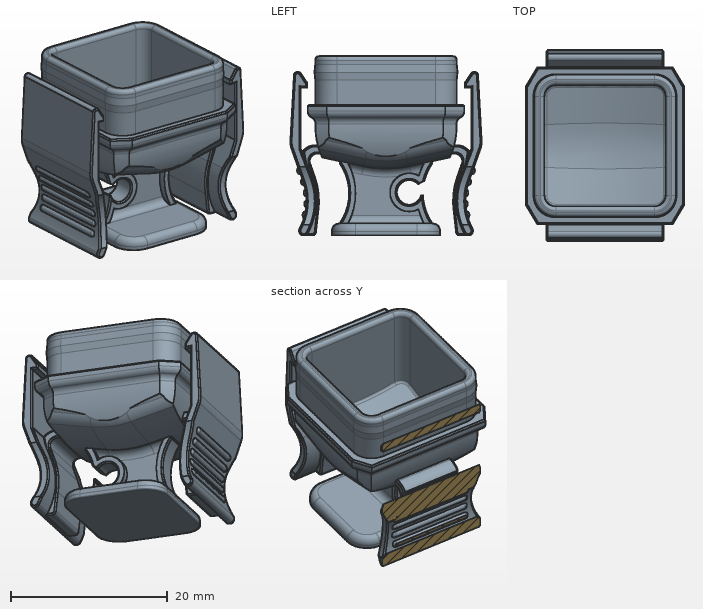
import cadquery as cq
import math

EDGE_CHAMFER = 0.2

CUP_HALF = 9.05
CUP_TOP_Z = 22.9
CUP_CORNER_R = 2.74
WALL = 1.32
RIM_ROUND = 0.55
BEAD_MID_Z = 20.85
BEAD_HALF_HEIGHT = 1.0
BEAD_RISE = 0.1

FLANGE_HALF_X = 10.102
FLANGE_HALF_Y = 10.005
CORNER_CUT_X = 1.47
CORNER_CUT_Y = 2.45
FLANGE_TOP_Z = 16.65
OGEE_TOP_Z = 15.88
OGEE_BOTTOM_Z = 14.25
OGEE_STEP = 1.0
SKIRT_MID = (0.25, 11.73)
SKIRT_END = (0.85, 10.02)
BODY_LOW_Z = 7.33

KEEL_Z = 8.5
KEEL_ANGLE = 12.3
KEEL_ARC_R = 13.68
KEEL_RUN = 14.65
KEEL_SECTION_TOP = 20.77
BILGE_LOW = (7.57, 9.53)
BILGE_MID = (8.23, 10.05)
BILGE_HIGH = (8.7, 10.75)
KEEL_SIDE = (10.75, 13.44)
FLOOR_Z = 9.55
FLOOR_EDGE_Z = 10.82
FLOOR_ROUND = 0.37

FOOT_HALF_X = 8.45
FOOT_HALF_Y = 6.91
FOOT_HEIGHT = 1.55
FOOT_CORNER_R = 2.98
FOOT_TOP_ROUND = 0.98
FOOT_BOTTOM_ROUND = 0.12

POST_HALF_X = 1.6
POST_TOP_Z = 9.77
POST_WAIST_Z = 5.37
POST_WAIST_HALF = 4.71
POST_FOOT_HALF = 5.9
POST_RIM = 0.83
POST_RIM_FLARE = 0.25
WEB_HALF_X = 0.55
WEB_ROUND = POST_HALF_X - WEB_HALF_X
HOOK_Y = -2.95
HOOK_Z = 5.5
HOOK_OUTER_R = 2.45
HOOK_HOLE_R = 1.56

ARM_HALF_X = 7.48
ARM_OUT = 12.25
ARM_BEND_Z = 11.58
ARM_BEND_R = 2.74
ARM_INNER_Y = 10.85
ARM_INNER_BEND_Z = 10.97
ARM_TOP_Z = 20.86
ARM_TILT = 19.3
ARM_THICKNESS = 1.22
ARM_CURVE_R = 7.33
ARM_CURVE_Y = 17.47
ARM_CURVE_Z = 4.4
WAIST_TOP_Z = 8.8
WAIST_LOW_Z = 1.35
WAIST_DEPTH = 1.0

PAD_HALF_X = 4.15
PAD_RISE = 0.4
PAD_LOW_ROUND = 0.5

RIB_COUNT = 5
RIB_TOP_Z = 8.28
RIB_PITCH = 1.42
RIB_HALF_LENGTH = 5.25
RIB_R = 0.5
RIB_SINK = 0.2


def rounded_square(half, corner_r, z):
    side = 2 * half
    return cq.Workplane("XY").workplane(offset=z).sketch().rect(side, side).vertices().fillet(corner_r).finalize()


def swept_keel(section, low_z):
    """Turn an XZ outline through the keel arc centred on Y = 0, then run both ends straight up."""
    axis_z = low_z + KEEL_ARC_R
    pivot = (0, 0, axis_z)
    axis_end = (1, 0, axis_z)
    curved = section().revolve(2 * KEEL_ANGLE, (0, axis_z), (1, axis_z))
    straight = section().extrude(-KEEL_RUN).rotate(pivot, axis_end, KEEL_ANGLE)
    keel = curved.rotate(pivot, axis_end, -KEEL_ANGLE)
    return keel.union(straight).union(straight.mirror("XZ"))


def keel_section():
    return (
        cq.Workplane("XZ")
        .moveTo(-BILGE_LOW[0], BILGE_LOW[1])
        .threePointArc((0, KEEL_Z), BILGE_LOW)
        .threePointArc(BILGE_MID, BILGE_HIGH)
        .lineTo(*KEEL_SIDE)
        .lineTo(KEEL_SIDE[0], KEEL_SECTION_TOP)
        .lineTo(-KEEL_SIDE[0], KEEL_SECTION_TOP)
        .lineTo(-KEEL_SIDE[0], KEEL_SIDE[1])
        .lineTo(-BILGE_HIGH[0], BILGE_HIGH[1])
        .threePointArc((-BILGE_MID[0], BILGE_MID[1]), (-BILGE_LOW[0], BILGE_LOW[1]))
        .close()
    )


def body_side(distance, angle):
    """Half-space-like block whose one side carries the flange, ogee and skirt outline."""
    reach = 14.65
    block = (
        cq.Workplane("XZ")
        .moveTo(-reach, BODY_LOW_Z)
        .lineTo(-reach, FLANGE_TOP_Z)
        .lineTo(distance - EDGE_CHAMFER, FLANGE_TOP_Z)
        .lineTo(distance, FLANGE_TOP_Z - EDGE_CHAMFER)
        .lineTo(distance, OGEE_TOP_Z)
        .tangentArcPoint((distance - OGEE_STEP / 2, (OGEE_TOP_Z + OGEE_BOTTOM_Z) / 2), relative=False)
        .tangentArcPoint((distance - OGEE_STEP, OGEE_BOTTOM_Z), relative=False)
        .threePointArc(
            (distance - OGEE_STEP - SKIRT_MID[0], SKIRT_MID[1]),
            (distance - OGEE_STEP - SKIRT_END[0], SKIRT_END[1]),
        )
        .lineTo(distance - OGEE_STEP - SKIRT_END[0], BODY_LOW_Z)
        .close()
        .extrude(reach, both=True)
    )
    return block.rotate((0, 0, 0), (0, 0, 1), angle)


def flanged_body():
    diagonal = math.degrees(math.atan2(CORNER_CUT_X, CORNER_CUT_Y))
    cos_d = math.cos(math.radians(diagonal))
    sin_d = math.sin(math.radians(diagonal))
    diagonal_distance = FLANGE_HALF_X * cos_d + (FLANGE_HALF_Y - CORNER_CUT_Y) * sin_d
    sides = [
        (FLANGE_HALF_X, 0),
        (FLANGE_HALF_X, 180),
        (FLANGE_HALF_Y, 90),
        (FLANGE_HALF_Y, 270),
        (diagonal_distance, diagonal),
        (diagonal_distance, 180 - diagonal),
        (diagonal_distance, 180 + diagonal),
        (diagonal_distance, -diagonal),
    ]
    body = swept_keel(keel_section, KEEL_Z)
    for distance, angle in sides:
        body = body.intersect(body_side(distance, angle))
    return body


def cup_wall():
    low_z = (FLANGE_TOP_Z + OGEE_TOP_Z) / 2
    block = rounded_square(CUP_HALF, CUP_CORNER_R, low_z).extrude(CUP_TOP_Z - low_z)
    block = block.cut(rounded_square(CUP_HALF - WALL, CUP_CORNER_R - WALL, low_z).extrude(CUP_TOP_Z - low_z))
    block = block.faces(">Z").edges().fillet(RIM_ROUND)
    taper = math.degrees(math.atan(BEAD_RISE / BEAD_HALF_HEIGHT))
    for height in (BEAD_HALF_HEIGHT, -BEAD_HALF_HEIGHT):
        bead = rounded_square(CUP_HALF + BEAD_RISE, CUP_CORNER_R + BEAD_RISE, BEAD_MID_Z)
        block = block.union(bead.extrude(height, taper=taper))
    return block


def floor_section():
    half = CUP_HALF
    return (
        cq.Workplane("XZ")
        .moveTo(-half, FLOOR_EDGE_Z)
        .threePointArc((0, FLOOR_Z), (half, FLOOR_EDGE_Z))
        .lineTo(half, KEEL_SECTION_TOP)
        .lineTo(-half, KEEL_SECTION_TOP)
        .close()
    )


def cavity():
    half = CUP_HALF - WALL
    corner_r = CUP_CORNER_R - WALL
    shaft = rounded_square(half, corner_r, BODY_LOW_Z).extrude(CUP_TOP_Z - BODY_LOW_Z)
    floor_block = shaft.cut(swept_keel(floor_section, FLOOR_Z))
    floor_block = floor_block.intersect(rounded_square(half, corner_r, 0).extrude(OGEE_TOP_Z))
    room = shaft.cut(floor_block)
    near_floor = cq.selectors.BoxSelector((-CUP_HALF, -CUP_HALF, BODY_LOW_Z), (CUP_HALF, CUP_HALF, OGEE_TOP_Z))
    mid_floor = cq.selectors.BoxSelector((-0.25, -corner_r - 2.45, BODY_LOW_Z), (0.25, corner_r + 2.45, OGEE_TOP_Z))
    return room.edges(near_floor - mid_floor).fillet(FLOOR_ROUND)


def foot():
    plate = (
        cq.Workplane("XY")
        .rect(2 * FOOT_HALF_X, 2 * FOOT_HALF_Y)
        .extrude(FOOT_HEIGHT)
        .edges("|Z")
        .fillet(FOOT_CORNER_R)
    )
    plate = plate.faces(">Z").edges().fillet(FOOT_TOP_ROUND)
    return plate.faces("<Z").edges().fillet(FOOT_BOTTOM_ROUND)


def waisted_block(foot_half, waist_half, half_x):
    top_z = 2 * POST_WAIST_Z - FOOT_HEIGHT
    return (
        cq.Workplane("YZ")
        .moveTo(-foot_half, FOOT_HEIGHT)
        .lineTo(foot_half, FOOT_HEIGHT)
        .threePointArc((waist_half, POST_WAIST_Z), (foot_half, top_z))
        .lineTo(foot_half, POST_TOP_Z)
        .lineTo(-foot_half, POST_TOP_Z)
        .lineTo(-foot_half, top_z)
        .threePointArc((-waist_half, POST_WAIST_Z), (-foot_half, FOOT_HEIGHT))
        .close()
        .extrude(half_x, both=True)
    )


def pocket_foot_section():
    """Section of the pocket on the +X side of the web, rounded into the foot plate."""
    bend = WEB_ROUND * (1 - math.sqrt(0.5))
    return (
        cq.Workplane("XZ")
        .moveTo(POST_HALF_X, FOOT_HEIGHT)
        .threePointArc((WEB_HALF_X + bend, FOOT_HEIGHT + bend), (WEB_HALF_X, FOOT_HEIGHT + WEB_ROUND))
        .lineTo(WEB_HALF_X, POST_TOP_Z)
        .lineTo(POST_HALF_X, POST_TOP_Z)
        .close()
    )


def pocket_head_section():
    """Section of the same pocket, rounded into the keel above."""
    bend = WEB_ROUND * (1 - math.sqrt(0.5))
    return (
        cq.Workplane("XZ")
        .moveTo(POST_HALF_X, KEEL_Z)
        .threePointArc((WEB_HALF_X + bend, KEEL_Z - bend), (WEB_HALF_X, KEEL_Z - WEB_ROUND))
        .lineTo(WEB_HALF_X, 0)
        .lineTo(POST_HALF_X, 0)
        .close()
    )


def post_pocket(ring):
    rim_foot = POST_FOOT_HALF - POST_RIM - POST_RIM_FLARE
    inner = waisted_block(rim_foot, POST_WAIST_HALF - POST_RIM, POST_HALF_X)
    pocket = pocket_foot_section().extrude(POST_FOOT_HALF, both=True)
    return pocket.intersect(swept_keel(pocket_head_section, KEEL_Z)).intersect(inner).cut(ring)


def hook_cylinder(radius):
    return cq.Workplane("YZ").center(HOOK_Y, HOOK_Z).circle(radius).extrude(POST_HALF_X, both=True)


def hook_hole():
    mouth_r = HOOK_HOLE_R + EDGE_CHAMFER
    face = cq.Workplane("YZ").workplane(offset=POST_HALF_X).center(HOOK_Y, HOOK_Z)
    countersink = face.circle(mouth_r).extrude(-EDGE_CHAMFER, taper=45)
    return hook_cylinder(HOOK_HOLE_R).union(countersink).union(countersink.mirror("YZ"))


def hook_mouth():
    return (
        cq.Workplane("YZ")
        .moveTo(HOOK_Y, HOOK_Z)
        .lineTo(-4.25, 6.65)
        .lineTo(-5.08, 7.05)
        .lineTo(-6.35, 7.05)
        .lineTo(-6.35, 4.8)
        .lineTo(-4.98, 4.8)
        .threePointArc((-4.75, 5.15), (-4.42, 5.03))
        .lineTo(-4.05, 4.37)
        .close()
        .extrude(POST_HALF_X, both=True)
    )


def pedestal():
    post = waisted_block(POST_FOOT_HALF, POST_WAIST_HALF, POST_HALF_X)
    post = post.faces("<X or >X").edges("not |Y").chamfer(EDGE_CHAMFER)
    pocket = post_pocket(hook_cylinder(HOOK_OUTER_R))
    post = post.cut(pocket).cut(pocket.mirror("YZ"))
    return post.cut(hook_hole()).cut(hook_mouth())


def curve_point(radius, angle):
    """Point (y, z) on the lower arm curve; the angle is measured upwards from horizontal."""
    turn = math.radians(angle)
    return (ARM_CURVE_Y - radius * math.cos(turn), ARM_CURVE_Z + radius * math.sin(turn))


def arm_blank():
    tip_r = ARM_THICKNESS / 2
    inner_r = ARM_CURVE_R + ARM_THICKNESS
    tip_angle = -math.degrees(math.asin((ARM_CURVE_Z - tip_r) / (ARM_CURVE_R + tip_r)))
    tip_y = curve_point(ARM_CURVE_R + tip_r, tip_angle)[0]
    mid_angle = (ARM_TILT + tip_angle) / 2
    outline = (
        cq.Workplane("YZ")
        .moveTo(11.75, 20.52)
        .lineTo(ARM_OUT, ARM_BEND_Z)
        .lineTo(*curve_point(ARM_CURVE_R, ARM_TILT))
        .threePointArc(curve_point(ARM_CURVE_R, mid_angle), curve_point(ARM_CURVE_R, tip_angle))
        .threePointArc((tip_y, 0), curve_point(inner_r, tip_angle))
        .threePointArc(curve_point(inner_r, mid_angle), curve_point(inner_r, ARM_TILT))
        .lineTo(ARM_INNER_Y, ARM_INNER_BEND_Z)
        .lineTo(ARM_INNER_Y, 18.85)
        .lineTo(10.07, 18.8)
        .lineTo(10.07, 19.47)
        .lineTo(10.9, 20.72)
        .threePointArc((11.34, ARM_TOP_Z), (11.75, 20.52))
        .close()
    )
    blank = outline.extrude(ARM_HALF_X, both=True)
    bend = cq.selectors.NearestToPointSelector((0, ARM_OUT, ARM_BEND_Z))
    blank = blank.edges(bend).fillet(ARM_BEND_R)
    waist_mid_z = (WAIST_TOP_Z + WAIST_LOW_Z) / 2
    waist = (
        cq.Workplane("XZ")
        .moveTo(ARM_HALF_X, WAIST_LOW_Z)
        .threePointArc((ARM_HALF_X - WAIST_DEPTH, waist_mid_z), (ARM_HALF_X, WAIST_TOP_Z))
        .close()
        .extrude(-2 * ARM_OUT)
    )
    return blank.cut(waist).cut(waist.mirror("YZ"))


def pad_and_strap():
    pad_r = ARM_CURVE_R + ARM_THICKNESS + PAD_RISE
    core_r = ARM_CURVE_R + ARM_THICKNESS / 2
    low_angle = -9.0
    return (
        cq.Workplane("YZ")
        .moveTo(8.3, 11.53)
        .lineTo(8.95, 11.53)
        .threePointArc((9.92, 11.3), (10.63, 10.75))
        .lineTo(*curve_point(core_r, ARM_TILT))
        .threePointArc(curve_point(core_r, 0), (10.3, PAD_LOW_ROUND))
        .lineTo(10.3, 0)
        .lineTo(8.92 + PAD_LOW_ROUND, 0)
        .threePointArc((9.06, 0.15), (8.92, PAD_LOW_ROUND))
        .lineTo(*curve_point(pad_r, low_angle))
        .threePointArc(curve_point(pad_r, 5), curve_point(pad_r, ARM_TILT))
        .lineTo(9.67, 9.19)
        .threePointArc((9.53, 10.07), (8.75, 10.43))
        .lineTo(8.3, 10.43)
        .close()
        .extrude(PAD_HALF_X, both=True)
    )


def finger_rib(z):
    tangent_y, tangent_z = curve_point(ARM_CURVE_R, ARM_TILT)
    if z > tangent_z:
        y = tangent_y + (z - tangent_z) * math.tan(math.radians(ARM_TILT))
    else:
        y = ARM_CURVE_Y - math.sqrt(ARM_CURVE_R**2 - (z - ARM_CURVE_Z) ** 2)
    y -= RIB_SINK
    rib = cq.Workplane("YZ").center(y, z).circle(RIB_R).extrude(RIB_HALF_LENGTH, both=True)
    for x in (-RIB_HALF_LENGTH, RIB_HALF_LENGTH):
        rib = rib.union(cq.Workplane("XY").sphere(RIB_R).translate((x, y, z)))
    return rib


def latch_arm():
    arm = arm_blank()
    middle = cq.selectors.BoxSelector((-PAD_HALF_X, 0, -0.25), (PAD_HALF_X, 2 * ARM_OUT, CUP_TOP_Z))
    arm = arm.edges().edges(cq.selectors.InverseSelector(middle)).edges("not |Y").chamfer(EDGE_CHAMFER)
    pad = pad_and_strap()
    arm = arm.union(pad.faces("<X or >X").edges().chamfer(EDGE_CHAMFER))
    for index in range(RIB_COUNT):
        arm = arm.union(finger_rib(RIB_TOP_Z - index * RIB_PITCH))
    return arm


arm = latch_arm()
result = flanged_body().union(cup_wall()).union(pedestal()).union(foot()).union(arm).union(arm.mirror("XZ"))
result = result.cut(cavity())